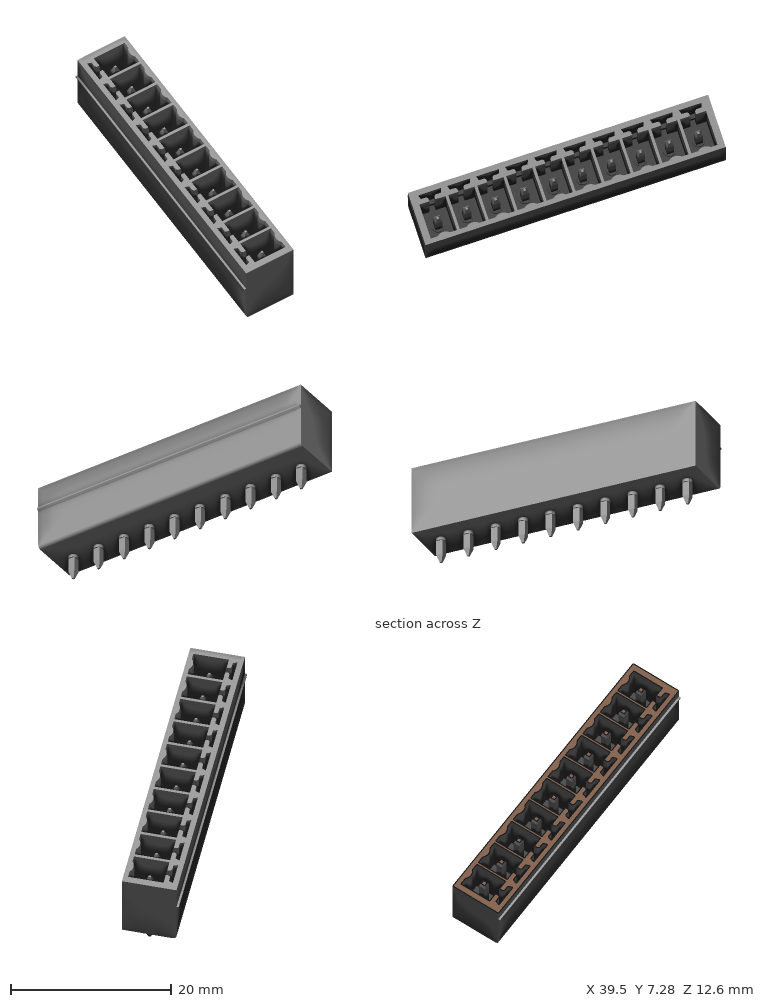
import cadquery as cq
import math


length = 39.5
pin_count = 10
end_pin_inset = 2.6
pitch = (length - 2 * end_pin_inset) / (pin_count - 1)
pin_positions = [((i - (pin_count - 1) / 2) * pitch, 0) for i in range(pin_count)]

back_y = 3.0
front_y = -4.0
housing_height = 9.25
bottom_edge_radius = 0.5

rib_projection = 0.28
rib_top_z = housing_height - 3.15
rib_height = 0.47
rib_tip_height = 0.2

cavity_width = 3.45
cavity_back_y = 2.3
cavity_front_y = -2.0
cavity_depth = 7.0
floor_z = housing_height - cavity_depth
bulge_half_width = 0.83
bulge_depth = 0.3
lead_in_setback = 0.1
lead_in_height = 0.6

slot_back_y = -2.72
slot_front_y = -3.28
slot_back_width = 2.6
slot_front_width = 3.0
slot_depth = 5.92
neck_width = 0.8
neck_flare = 0.2

pin_width = 0.9
pin_top_z = housing_height - 1.25
pin_bottom_z = -3.35
tip_length = 1.0
tip_width = 0.28
floor_boss_diameter = 1.6
floor_boss_height = 0.3
collar_diameter = 1.25
collar_height = 0.45


def make_housing():
    depth = back_y - front_y
    block = cq.Workplane("XY").box(length, depth, housing_height, centered=(True, False, False))
    block = block.translate((0, front_y, 0))
    return block.edges("<Y and <Z").fillet(bottom_edge_radius)


def make_rib():
    """Flat-topped rib whose underside slopes back to the front face."""
    outer_y = front_y - rib_projection
    profile = [
        (front_y, rib_top_z),
        (outer_y, rib_top_z),
        (outer_y, rib_top_z - rib_tip_height),
        (front_y, rib_top_z - rib_height),
    ]
    return cq.Workplane("YZ").polyline(profile).close().extrude(length / 2, both=True)


def cavity_outline(z, setback):
    """Rectangle with its back side bulging inward; setback moves the front and back outward."""
    back = cavity_back_y + setback
    front = cavity_front_y - setback
    half_width = cavity_width / 2
    return (
        cq.Workplane("XY", origin=(0, 0, z))
        .moveTo(-half_width, front)
        .lineTo(half_width, front)
        .lineTo(half_width, back)
        .lineTo(bulge_half_width, back)
        .threePointArc((0, back - bulge_depth), (-bulge_half_width, back))
        .lineTo(-half_width, back)
        .close()
    )


def make_cavity():
    """Plug cavity whose front and back walls slope outward near the top."""
    cavity = cavity_outline(floor_z, 0).extrude(cavity_depth)
    lower = cavity_outline(housing_height - lead_in_height, 0).wires().val()
    upper = cavity_outline(housing_height, lead_in_setback).wires().val()
    lead_in = cq.Solid.makeLoft([lower, upper], True)
    return cavity.union(cq.Workplane(lead_in))


def make_coding_slot():
    """Trapezoidal slot joined to the cavity by a neck that flares where it meets the slot."""
    trapezoid = [
        (-slot_back_width / 2, slot_back_y),
        (slot_back_width / 2, slot_back_y),
        (slot_front_width / 2, slot_front_y),
        (-slot_front_width / 2, slot_front_y),
    ]
    flared_half_width = neck_width / 2 + neck_flare
    neck = [
        (-neck_width / 2, cavity_front_y),
        (neck_width / 2, cavity_front_y),
        (neck_width / 2, slot_back_y + neck_flare),
        (flared_half_width, slot_back_y),
        (-flared_half_width, slot_back_y),
        (-neck_width / 2, slot_back_y + neck_flare),
    ]
    top = cq.Workplane("XY", origin=(0, 0, housing_height))
    slot = top.polyline(trapezoid).close().extrude(-slot_depth)
    return slot.union(top.polyline(neck).close().extrude(-cavity_depth))


def make_pin():
    """Square pin tapered at both ends, with a round boss on the floor and a collar below."""
    shank_bottom = pin_bottom_z + tip_length
    shank_length = pin_top_z - pin_bottom_z - 2 * tip_length
    taper = math.degrees(math.atan((pin_width - tip_width) / 2 / tip_length))
    shank_base = cq.Workplane("XY", origin=(0, 0, shank_bottom))
    pin = shank_base.rect(pin_width, pin_width).extrude(shank_length)
    pin = pin.faces(">Z").workplane().rect(pin_width, pin_width).extrude(tip_length, taper=taper)
    pin = pin.faces("<Z").workplane().rect(pin_width, pin_width).extrude(tip_length, taper=taper)
    floor = cq.Workplane("XY", origin=(0, 0, floor_z))
    boss = floor.circle(floor_boss_diameter / 2).extrude(floor_boss_height)
    collar = cq.Workplane("XY").circle(collar_diameter / 2).extrude(-collar_height)
    return pin.union(boss).union(collar)


def at_each_pin(feature):
    return cq.Workplane("XY").pushPoints(pin_positions).eachpoint(
        lambda location: feature.val().moved(location)
    )


pocket = make_cavity().union(make_coding_slot())
housing = make_housing().union(make_rib()).cut(at_each_pin(pocket))
result = housing.union(at_each_pin(make_pin())).solids()